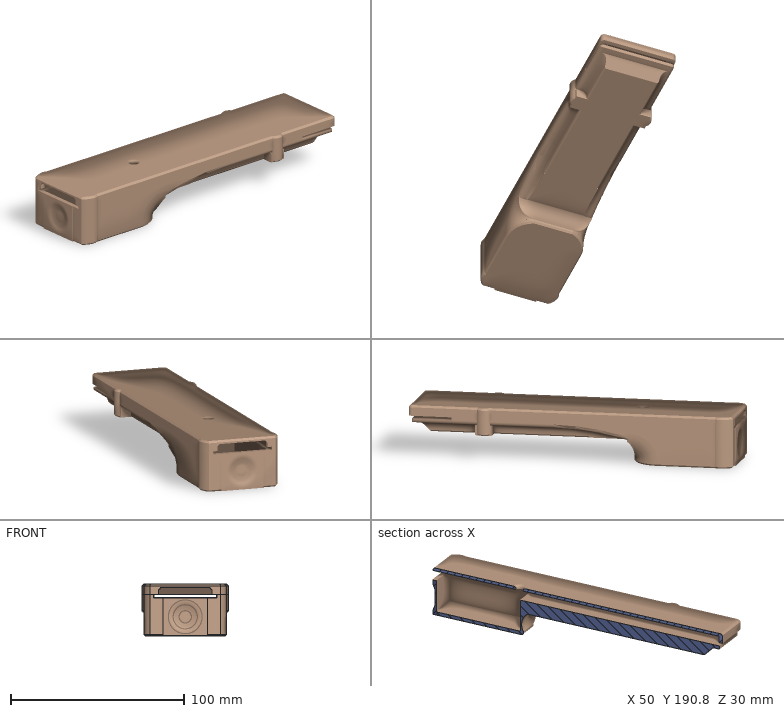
import cadquery as cq
import math

LENGTH = 190.8
HEIGHT = 30.0
HALF_WIDTH = 23.18
FACE_Y = 0.2
WALL = 2.5

LID_HEIGHT = 6.1
LID_ROOF = 2.1
LID_CHAMFER = 1.1
CHANNEL_HALF = 18.1
MOUTH_WIDTH = 30.7
MOUTH_CHAMFER = 1.3
SCREW_Y = 57.2
SCREW_HOLE = 4.2
SCREW_MOUTH = 8.0

CORNER_RADIUS = 2.3
EAR_Y = 146.5
EAR_CHORD = 7.6
EAR_REACH = 1.81
FRONT_HALF = 20.5
CHEEK_RADIUS = 9.5
CHEEK_Y = 5.2
CHEEK_HALF = 23.5
BULGE_Y = 7.5
BULGE_HALF = 23.8
BULGE_END_Y = 10.3

CHANNEL_DEPTH = 1.81
SIDE_WALL_END_Y = 165.2
TRAY_END_Y = 188.8
TRAY_EDGE_RADIUS = 2.3
KEEL_HALF = 16.8
REAR_KEEL_FILLET = 3.8
FRONT_KEEL_FILLET = 2.7
KEEL_HEIGHT = 16.0
KEEL_CHAMFER = 0.8
KEEL_CHAMFER_END_Y = 85.8
BEVEL_START_Y = 184.5
BEND_START_Y = 105
BEND_RADIUS = 171.7
BEND_END_Y = 61.5
WEB_LENGTH = 9.7
BOTTOM_CHAMFER = 1.0

SCOOP_TOP_Y = 62.5
SCOOP_MID_Y = 58.8
SCOOP_MID_Z = 7.6
SCOOP_LOW_Y = 59.9
NOSE_BASE_Z = 2.3
NOSE_Y = SCOOP_LOW_Y
NOSE_RADIUS = 15.8
NOSE_DEPTH = 11.5
CAVITY_HALF = 16.2
CAVITY_END_Y = 57.8
CAVITY_FLOOR_Z = 2.3

PLATE_WIDTH = 25.8
DISH_DIAMETER = 19.5
DISH_RING_DIAMETER = 14.0
DISH_FLOOR_DIAMETER = 7.0
DISH_RING_DEPTH = 0.67
DISH_DEPTH = 1.5

SEAM_Z = HEIGHT - LID_HEIGHT
TRAY_Z = SEAM_Z - CHANNEL_DEPTH
TRAY_UNDER_Z = TRAY_Z - TRAY_EDGE_RADIUS
KEEL_Z = HEIGHT - KEEL_HEIGHT
EAR_FRONT_Y = EAR_Y - EAR_CHORD / 2
EAR_REAR_Y = EAR_Y + EAR_CHORD / 2
EAR_HALF = HALF_WIDTH + EAR_REACH
MARGIN = 3.8


def block(half_x, y_front, y_rear, z_low, z_high):
    """Box centred on X = 0."""
    return (cq.Workplane("XY", origin=(0, (y_front + y_rear) / 2, z_low))
            .rect(2 * half_x, y_rear - y_front).extrude(z_high - z_low))


def both_sides(shape):
    """The shape together with its mirror image across X = 0."""
    return shape.union(shape.mirror("YZ"))


def plan_body(rear_y, z_low, z_high):
    """Outline with cheeks at the front, side ears and rounded rear corners."""
    return (cq.Workplane("XY", origin=(0, 0, z_low))
            .moveTo(0, FACE_Y)
            .lineTo(FRONT_HALF, FACE_Y)
            .radiusArc((CHEEK_HALF, CHEEK_Y), -CHEEK_RADIUS)
            .threePointArc((BULGE_HALF, BULGE_Y), (HALF_WIDTH, BULGE_END_Y))
            .lineTo(HALF_WIDTH, EAR_FRONT_Y)
            .threePointArc((EAR_HALF, EAR_Y), (HALF_WIDTH, EAR_REAR_Y))
            .lineTo(HALF_WIDTH, rear_y - CORNER_RADIUS)
            .radiusArc((HALF_WIDTH - CORNER_RADIUS, rear_y), -CORNER_RADIUS)
            .lineTo(0, rear_y)
            .mirrorY().extrude(z_high - z_low))


def make_lid():
    lid = plan_body(LENGTH, SEAM_Z, HEIGHT).faces(">Z").chamfer(LID_CHAMFER)
    roof_z = HEIGHT - LID_ROOF
    lid = lid.cut(block(CHANNEL_HALF, FACE_Y + WALL, LENGTH - WALL, SEAM_Z, roof_z))
    mouth = (block(MOUTH_WIDTH / 2, 0, MARGIN, SEAM_Z, roof_z)
             .edges("|Y and >Z").chamfer(MOUTH_CHAMFER))
    lid = lid.cut(mouth)
    flare = (SCREW_MOUTH - SCREW_HOLE) / 2
    hole = (cq.Workplane("XZ", origin=(0, SCREW_Y, 0))
            .moveTo(0, SEAM_Z)
            .lineTo(SCREW_HOLE / 2, SEAM_Z)
            .lineTo(SCREW_HOLE / 2, HEIGHT - flare)
            .radiusArc((SCREW_MOUTH / 2, HEIGHT), flare)
            .lineTo(0, HEIGHT).close()
            .revolve(360, (0, 0, 0), (0, 1, 0)))
    return lid.cut(hole)


def side_profile():
    """Side silhouette: deep block in front, thin tray and keel behind."""
    bevel_run = TRAY_UNDER_Z - KEEL_Z
    return (cq.Workplane("YZ")
            .moveTo(0, 0)
            .lineTo(SCOOP_LOW_Y - BOTTOM_CHAMFER, 0)
            .lineTo(SCOOP_LOW_Y, BOTTOM_CHAMFER)
            .lineTo(SCOOP_LOW_Y, NOSE_BASE_Z)
            .threePointArc((SCOOP_MID_Y, SCOOP_MID_Z), (SCOOP_TOP_Y, KEEL_Z))
            .lineTo(BEVEL_START_Y - bevel_run, KEEL_Z)
            .lineTo(BEVEL_START_Y, TRAY_UNDER_Z)
            .lineTo(TRAY_END_Y, TRAY_UNDER_Z)
            .lineTo(TRAY_END_Y, TRAY_Z)
            .lineTo(SIDE_WALL_END_Y, TRAY_Z)
            .lineTo(SIDE_WALL_END_Y, SEAM_Z)
            .lineTo(0, SEAM_Z).close()
            .extrude(HALF_WIDTH + MARGIN, both=True))


def flank_section(start_y, fillet):
    """Cross-section beside the keel: round tray edge, concave fillet, upright keel side."""
    outer_x = HALF_WIDTH + MARGIN
    return (cq.Workplane("XZ", origin=(0, start_y, 0))
            .moveTo(outer_x, TRAY_Z)
            .lineTo(HALF_WIDTH, TRAY_Z)
            .radiusArc((HALF_WIDTH - TRAY_EDGE_RADIUS, TRAY_UNDER_Z), TRAY_EDGE_RADIUS)
            .lineTo(KEEL_HALF + fillet, TRAY_UNDER_Z)
            .radiusArc((KEEL_HALF, TRAY_UNDER_Z - fillet), -fillet)
            .lineTo(KEEL_HALF, KEEL_Z - MARGIN)
            .lineTo(outer_x, KEEL_Z - MARGIN).close())


def rear_flank_cutter():
    start_y = TRAY_END_Y + MARGIN
    return flank_section(start_y, REAR_KEEL_FILLET).extrude(start_y - EAR_Y)


def front_flank_cutter():
    """Runs straight from the ears, then bends down towards the grip block."""
    drop = BEND_RADIUS - math.sqrt(BEND_RADIUS ** 2 - (BEND_START_Y - BEND_END_Y) ** 2)
    path = (cq.Workplane("YZ").moveTo(EAR_Y, TRAY_Z)
            .lineTo(BEND_START_Y, TRAY_Z)
            .radiusArc((BEND_END_Y, TRAY_Z - drop), -BEND_RADIUS))
    return flank_section(EAR_Y, FRONT_KEEL_FILLET).sweep(path)


def keel_chamfer_cutter():
    return (cq.Workplane("XZ", origin=(0, TRAY_END_Y, 0))
            .moveTo(KEEL_HALF, KEEL_Z)
            .lineTo(KEEL_HALF, KEEL_Z + KEEL_CHAMFER)
            .lineTo(KEEL_HALF - KEEL_CHAMFER, KEEL_Z).close()
            .extrude(TRAY_END_Y - KEEL_CHAMFER_END_Y))


def nose_section(z):
    """Plan of the material outside the rounded rear corner of the grip block."""
    front_y = NOSE_Y - NOSE_RADIUS
    inner_x = HALF_WIDTH - NOSE_DEPTH
    arc_radius = (NOSE_DEPTH ** 2 + NOSE_RADIUS ** 2) / (2 * NOSE_DEPTH)
    return (cq.Workplane("XY", origin=(0, 0, z))
            .moveTo(HALF_WIDTH, front_y)
            .radiusArc((inner_x, NOSE_Y), -arc_radius)
            .lineTo(HALF_WIDTH + MARGIN, NOSE_Y)
            .lineTo(HALF_WIDTH + MARGIN, front_y).close())


def nose_cutter():
    """Rounding whose trace on the side wall is a half circle above a short upright."""
    turned = nose_section(NOSE_BASE_Z).revolve(180, (2, NOSE_Y, 0), (0, NOSE_Y, 0))
    upright = nose_section(NOSE_BASE_Z).extrude(-NOSE_BASE_Z)
    chamfer = nose_section(BOTTOM_CHAMFER).extrude(-BOTTOM_CHAMFER, taper=-45)
    return turned.union(upright).union(chamfer)


def leg():
    """Ear column that runs down to keel level, and the web tying it to the keel."""
    column = (cq.Workplane("XY", origin=(0, 0, KEEL_Z))
              .moveTo(KEEL_HALF, EAR_FRONT_Y)
              .lineTo(HALF_WIDTH, EAR_FRONT_Y)
              .threePointArc((EAR_HALF, EAR_Y), (HALF_WIDTH, EAR_REAR_Y))
              .lineTo(KEEL_HALF, EAR_REAR_Y).close()
              .extrude(TRAY_Z - KEEL_Z))
    web_reach = HALF_WIDTH - KEEL_HALF + KEEL_CHAMFER
    web = (cq.Workplane("XY", origin=(HALF_WIDTH - web_reach / 2, EAR_Y, KEEL_Z))
           .rect(web_reach, WEB_LENGTH).extrude(TRAY_UNDER_Z - KEEL_Z))
    return column.union(web).faces("<Z").edges(">X").chamfer(KEEL_CHAMFER)


def make_housing():
    deck = plan_body(TRAY_END_Y, 0, SEAM_Z).faces("<Z").chamfer(BOTTOM_CHAMFER)
    housing = deck.intersect(side_profile())
    housing = housing.cut(both_sides(rear_flank_cutter()))
    housing = housing.cut(both_sides(front_flank_cutter()))
    housing = housing.cut(both_sides(keel_chamfer_cutter()))
    housing = housing.cut(both_sides(nose_cutter()))
    housing = housing.union(both_sides(leg()))
    housing = housing.cut(block(CHANNEL_HALF, 0, LENGTH, TRAY_Z, SEAM_Z))
    housing = housing.cut(block(CAVITY_HALF, FACE_Y + WALL, CAVITY_END_Y, CAVITY_FLOOR_Z, TRAY_Z))
    return housing.cut(block(PLATE_WIDTH / 2, 0, WALL + FACE_Y, 0, TRAY_Z))


def make_end_plate():
    plate = block(PLATE_WIDTH / 2, 0, WALL + FACE_Y, 0, TRAY_Z)
    rim = DISH_DIAMETER / 2
    ring = DISH_RING_DIAMETER / 2
    floor = DISH_FLOOR_DIAMETER / 2
    roll_radius = ((rim - ring) ** 2 + DISH_RING_DEPTH ** 2) / (2 * DISH_RING_DEPTH)
    dish = (cq.Workplane("XY", origin=(0, 0, TRAY_Z / 2))
            .moveTo(0, 0)
            .lineTo(rim, 0)
            .radiusArc((ring, DISH_RING_DEPTH), roll_radius)
            .tangentArcPoint((floor, DISH_DEPTH), relative=False)
            .lineTo(0, DISH_DEPTH).close()
            .revolve(360, (0, 0, 0), (0, 1, 0)))
    return plate.cut(dish)


lid = make_lid()
housing = make_housing()
end_plate = make_end_plate()

result = cq.Compound.makeCompound([
    *lid.solids().vals(),
    *housing.solids().vals(),
    *end_plate.solids().vals(),
])